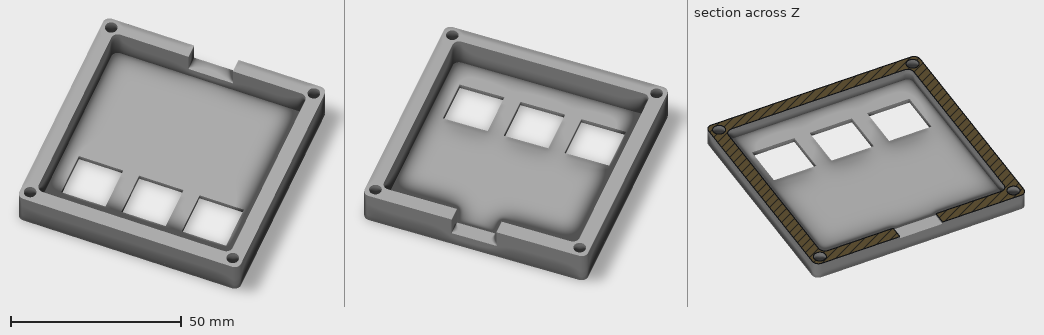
import cadquery as cq

side = 70.0
height = 10.8
corner_radius = 2.0

plate_thickness = 1.5
middle_thickness = 3.2
top_thickness = height - plate_thickness - middle_thickness
middle_base = plate_thickness
top_base = plate_thickness + middle_thickness

wall = 4.4
cavity_side = side - 2 * wall

hole_diameter = 3.7
hole_inset = 3.0
hole_spacing = side - 2 * hole_inset

window_side = 14.0
window_pitch = 19.05
window_count = 3
window_center_y = -15.4

notch_width = 14.0


def rounded_square(width, thickness, base):
    """Square block centered on the Z axis, with rounded vertical edges."""
    return (
        cq.Workplane("XY", origin=(0, 0, base))
        .rect(width, width)
        .extrude(thickness)
        .edges("|Z")
        .fillet(corner_radius)
    )


def make_frame(thickness, base):
    """Open frame with a screw hole through each corner."""
    cavity = rounded_square(cavity_side, thickness, base)
    holes = (
        cq.Workplane("XY", origin=(0, 0, base))
        .rect(hole_spacing, hole_spacing, forConstruction=True)
        .vertices()
        .circle(hole_diameter / 2)
        .extrude(thickness)
    )
    return rounded_square(side, thickness, base).cut(cavity).cut(holes)


def make_plate():
    """Bottom plate with a row of square windows near the front."""
    windows = (
        cq.Workplane("XY", origin=(0, window_center_y, 0))
        .rarray(window_pitch, 0.7, window_count, 1)
        .rect(window_side, window_side)
        .extrude(plate_thickness)
    )
    return rounded_square(side, plate_thickness, 0).cut(windows)


def make_top_frame():
    """Upper frame, its rear wall interrupted by the cable notch."""
    notch = (
        cq.Workplane("XY", origin=(0, side / 2 - wall / 2, top_base))
        .rect(notch_width, wall)
        .extrude(top_thickness)
    )
    return make_frame(top_thickness, top_base).cut(notch)


plate = make_plate()
middle_frame = make_frame(middle_thickness, middle_base)
top_frame = make_top_frame()

result = cq.Compound.makeCompound([plate.val(), middle_frame.val(), top_frame.val()])